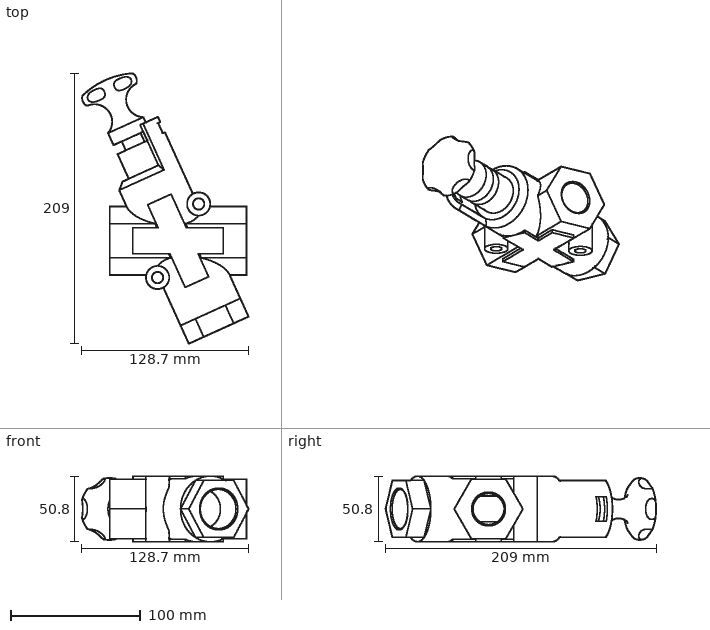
import cadquery as cq
import math

BARREL_TILT = 24.4
THICKNESS = 50.8
COS30 = math.cos(math.radians(30))
BORE_CHAMFER = 1.0

PIPE_LENGTH = 105.8
PIPE_FLATS = 46
PIPE_BORE = 24.0

BARREL_RADIUS = THICKNESS / 2
PORT_END = -75.9
PORT_HEX_TOP = -60.5
PORT_BORE = 30.3
PORT_DEPTH = 30.0
CONE_START = 54.3
CONE_HEIGHT = 5.0
SHOULDER = CONE_START + CONE_HEIGHT
SPINDLE_DIAMETER = 20.0

ARM_END = 93.6
ARM_INNER_RADIUS = BARREL_RADIUS - CONE_HEIGHT
ARM_HALF_ANGLE = 60
SLOT_CENTRE = 84.9
SLOT_WIDTH = 8.5
SLOT_LENGTH = 18.8

STEM_DIAMETER = 30.0
STEM_TOP = 80.3
GROOVE_DIAMETER = 16.0
COLLAR_BOTTOM = 87.8
COLLAR_TOP = 98.0

WAIST_RADIUS = 7.5
WAIST_HEIGHT = 112.5
RIM_BOTTOM = 123.7
RIM_BOTTOM_RADIUS = 20.3
RIM_MIDDLE = 128.3
RIM_RADIUS = 24.0
RIM_TOP = 132.7
RIM_TOP_RADIUS = 20.7
KNOB_TOP = 136.3
SCALLOP_COUNT = 6
SCALLOP_RADIUS = 18.0
SCALLOP_DEPTH = 3.3

PAD_WIDTH = 19.9
PAD_LENGTH = 70.0

BOSS_DIAMETER = 18.0
BOSS_HOLE = 8.5
BOSS_CENTRES = [(15.9, 28.5), (-15.9, -28.5)]


def cylinder(diameter, start, end):
    return cq.Workplane("XY").workplane(offset=start).circle(diameter / 2).extrude(end - start)


def hexagon(across_flats, start, end):
    """Hexagonal bar along Z with two flats facing +Y and -Y."""
    return cq.Workplane("XY").workplane(offset=start).polygon(6, across_flats / COS30).extrude(end - start)


def place_on_barrel(solid):
    """Move a solid built along Z onto the inclined barrel axis; its X stays in the XY plane."""
    tilt = math.radians(BARREL_TILT)
    plane = cq.Plane(
        origin=(0, 0, 0),
        xDir=(math.cos(tilt), math.sin(tilt), 0),
        normal=(-math.sin(tilt), math.cos(tilt), 0),
    )
    return solid.newObject([solid.val().located(plane.location)])


def make_barrel():
    """Round barrel with its guard arm and the hexagonal port end."""
    port = hexagon(THICKNESS * COS30, PORT_END, PORT_HEX_TOP)
    barrel = cylinder(THICKNESS, PORT_HEX_TOP, ARM_END)
    return cut_arm(barrel).union(port)


def make_port_bore():
    """Blind, chamfered bore in the hexagonal end."""
    mouth_radius = PORT_BORE / 2 + BORE_CHAMFER
    return (
        cq.Workplane("XZ")
        .moveTo(0, PORT_END)
        .lineTo(mouth_radius, PORT_END)
        .lineTo(PORT_BORE / 2, PORT_END + BORE_CHAMFER)
        .lineTo(PORT_BORE / 2, PORT_END + PORT_DEPTH)
        .lineTo(0, PORT_END + PORT_DEPTH)
        .close()
        .revolve(360, (0, 0, 0), (0, 1, 0))
    )


def cut_arm(barrel):
    """Cut the top of the barrel away to leave the slotted guard arm on its +X side."""
    outside = BARREL_RADIUS + CONE_HEIGHT
    open_side = (
        cq.Workplane("XZ")
        .polyline(
            [
                (0, SHOULDER),
                (ARM_INNER_RADIUS, SHOULDER),
                (outside, SHOULDER - (outside - ARM_INNER_RADIUS)),
                (outside, ARM_END),
                (0, ARM_END),
            ]
        )
        .close()
        .revolve(360 - 2 * ARM_HALF_ANGLE, (0, 0, 0), (0, 1, 0))
        .rotate((0, 0, 0), (0, 0, 1), ARM_HALF_ANGLE)
    )
    inside = cylinder(2 * ARM_INNER_RADIUS, SHOULDER, ARM_END)
    slot = (
        cq.Workplane("YZ")
        .center(0, SLOT_CENTRE)
        .rect(SLOT_LENGTH, SLOT_WIDTH)
        .extrude(outside)
    )
    return barrel.cut(open_side).cut(inside).cut(slot)


def make_stem():
    """Round stem with a groove below its top collar."""
    stem = cylinder(STEM_DIAMETER, SHOULDER, STEM_TOP)
    groove = cylinder(GROOVE_DIAMETER, STEM_TOP, COLLAR_BOTTOM)
    collar = cylinder(STEM_DIAMETER, COLLAR_BOTTOM, COLLAR_TOP)
    return stem.union(groove).union(collar)


def make_knob():
    """Waisted grip with a domed, scalloped rim."""
    dome_rise = KNOB_TOP - RIM_TOP
    dome_radius = (RIM_TOP_RADIUS**2 + dome_rise**2) / (2 * dome_rise)
    dome_middle = RIM_TOP_RADIUS / 2
    dome_drop = dome_radius - math.sqrt(dome_radius**2 - dome_middle**2)
    knob = (
        cq.Workplane("XZ")
        .moveTo(0, COLLAR_TOP)
        .lineTo(STEM_DIAMETER / 2, COLLAR_TOP)
        .threePointArc((WAIST_RADIUS, WAIST_HEIGHT), (RIM_BOTTOM_RADIUS, RIM_BOTTOM))
        .threePointArc((RIM_RADIUS, RIM_MIDDLE), (RIM_TOP_RADIUS, RIM_TOP))
        .threePointArc((dome_middle, KNOB_TOP - dome_drop), (0, KNOB_TOP))
        .close()
        .revolve(360, (0, 0, 0), (0, 1, 0))
    )
    scallops = (
        cq.Workplane("XY")
        .workplane(offset=COLLAR_TOP)
        .polarArray(RIM_RADIUS - SCALLOP_DEPTH + SCALLOP_RADIUS, 0, 360, SCALLOP_COUNT)
        .circle(SCALLOP_RADIUS)
        .extrude(KNOB_TOP - COLLAR_TOP)
    )
    return knob.cut(scallops)


def make_pipe():
    pipe = hexagon(PIPE_FLATS, -PIPE_LENGTH / 2, PIPE_LENGTH / 2)
    return pipe.rotate((0, 0, 0), (0, 0, 1), 90).rotate((0, 0, 0), (0, 1, 0), 90)


def make_pads():
    """Crossed bars that stand proud of the body at top and bottom."""
    pipe_pad = cq.Workplane("XY").box(PAD_LENGTH, PAD_WIDTH, THICKNESS)
    barrel_pad = cq.Workplane("XY").box(PAD_WIDTH, THICKNESS, PAD_LENGTH)
    return pipe_pad.union(place_on_barrel(barrel_pad))


def make_pipe_bore():
    """Through bore along X with a chamfer at each mouth."""
    half = PIPE_LENGTH / 2
    bore = cylinder(PIPE_BORE, -half, half)
    for end, inward in ((-half, 1), (half, -1)):
        mouth = cq.Solid.makeCone(
            PIPE_BORE / 2 + BORE_CHAMFER,
            PIPE_BORE / 2,
            BORE_CHAMFER,
            cq.Vector(0, 0, end),
            cq.Vector(0, 0, inward),
        )
        bore = bore.union(cq.Workplane(mouth))
    return bore.rotate((0, 0, 0), (0, 1, 0), 90)


def boss_cylinders(diameter):
    """Full-height cylinders standing on both mounting boss centres."""
    bottom = cq.Workplane("XY").workplane(offset=-THICKNESS / 2)
    return bottom.pushPoints(BOSS_CENTRES).circle(diameter / 2).extrude(THICKNESS)


spindle = cylinder(SPINDLE_DIAMETER, PORT_END + PORT_DEPTH, SHOULDER)
handle = make_stem().union(make_knob())

body = make_pipe().union(place_on_barrel(make_barrel())).union(make_pads())
body = body.union(boss_cylinders(BOSS_DIAMETER)).cut(boss_cylinders(BOSS_HOLE))
body = body.cut(make_pipe_bore()).cut(place_on_barrel(make_port_bore()))
result = body.union(place_on_barrel(spindle)).union(place_on_barrel(handle))